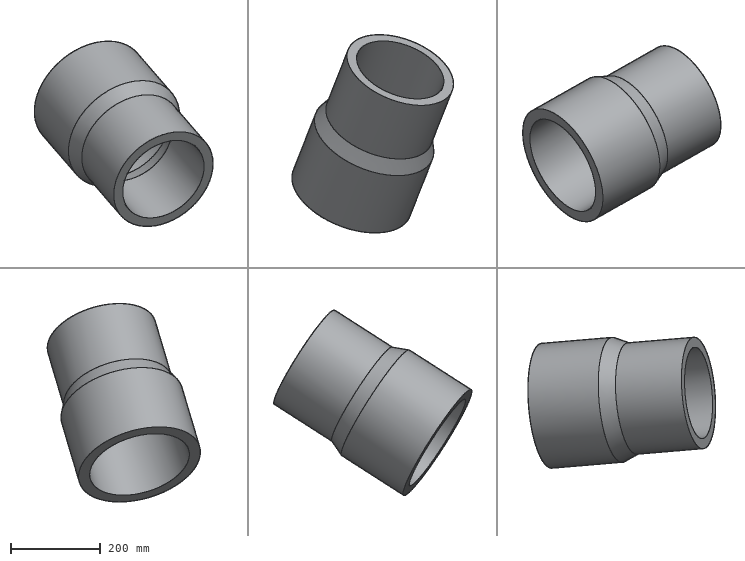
import cadquery as cq

total_length = 355.0
wide_length = 165.0
narrow_length = 154.5
wide_outer_diameter = 280.0
wide_bore_diameter = 229.0
narrow_outer_diameter = 250.0
narrow_bore_diameter = 204.5

taper_start = wide_length
taper_end = total_length - narrow_length


def stepped_body(wide_diameter, narrow_diameter):
    """Solid of revolution about X: wide cylinder, taper, narrow cylinder."""
    wide_radius = wide_diameter / 2
    narrow_radius = narrow_diameter / 2
    profile = [
        (0, 0),
        (0, wide_radius),
        (taper_start, wide_radius),
        (taper_end, narrow_radius),
        (total_length, narrow_radius),
        (total_length, 0),
    ]
    return cq.Workplane("XY").polyline(profile).close().revolve(360, (0, 0, 0), (1, 0, 0))


outside = stepped_body(wide_outer_diameter, narrow_outer_diameter)
bore = stepped_body(wide_bore_diameter, narrow_bore_diameter)

result = outside.cut(bore)